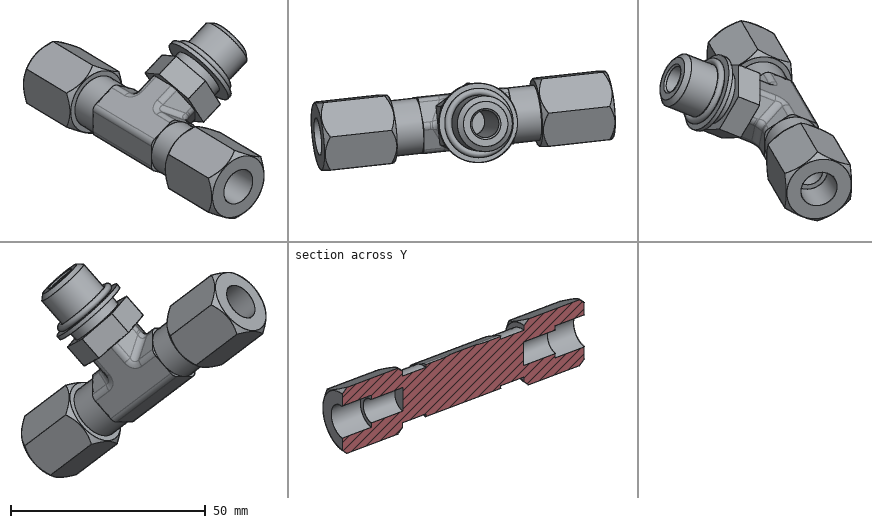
import cadquery as cq
import math

BRANCH_TILT = 30.0

RUN_LENGTH = 76.2
RUN_START = -RUN_LENGTH / 2
BODY_LENGTH = 23.6
BODY_FLATS = 14.3
BODY_ROUND = 2.0
CROTCH_ROUND = BODY_ROUND
NECK_DIAMETER = BODY_FLATS
NUT_FLATS = 17.45
NUT_LENGTH = 19.05
NUT_FACE_DIAMETER = 17.15

TUBE_BORE_DIAMETER = 9.6
TUBE_BORE_DEPTH = 9.15
PASSAGE_DIAMETER = 7.0
RUN_BORE_DEPTH = NUT_LENGTH
BRANCH_BORE_CHAMFER = 0.45

LOCKNUT_START = 11.7
LOCKNUT_END = 18.3
LOCKNUT_FLATS = NUT_FLATS
WASHER_START = 21.1
WASHER_END = 22.25
WASHER_DIAMETER = 20.4
O_RING_THICKNESS = 1.8
O_RING_CENTRE_RADIUS = 8.0
BRANCH_END = 32.9
STUD_DIAMETER = 14.3
STUD_CHAMFER_LENGTH = 1.2
STUD_CHAMFER_DEPTH = 1.4


def corner_diameter(flats):
    """Diameter across the corners of a hexagon, from its width across flats."""
    return flats / math.cos(math.pi / 6)


def across_run(start):
    """Sketch plane across the run, extruding toward +X, with sketch axes along Y and Z."""
    return cq.Workplane("YZ").workplane(offset=start)


def across_branch(start):
    """Sketch plane across the branch, extruding toward +Y, with sketch axes along Z and X."""
    return cq.Workplane(cq.Plane(origin=(0, start, 0), xDir=(0, 0, 1), normal=(0, 1, 0)))


def forged_body():
    """Two crossing hexagonal bars with filleted crotches and rounded long edges."""
    corners = corner_diameter(BODY_FLATS)
    run_bar = across_run(-BODY_LENGTH / 2).polygon(6, corners).extrude(BODY_LENGTH)
    branch_bar = (
        across_branch(0)
        .transformed(rotate=(0, 0, 90))
        .polygon(6, corners)
        .extrude(LOCKNUT_START)
    )
    body = run_bar.union(branch_bar)

    crotch_zone = cq.selectors.BoxSelector(
        (-corners / 2, 0, -corners / 2), (corners / 2, corners / 2, corners / 2)
    )
    oblique = cq.selectors.StringSyntaxSelector("not(|X or |Y)")
    body = body.edges(crotch_zone & oblique).fillet(CROTCH_ROUND)

    return body.edges("|X or |Y").edges("not(<X or >X or >Y)").fillet(BODY_ROUND)


def run_end():
    """Union nut at the -X end, its corners turned to a cone at both ends, and its neck."""
    corners = corner_diameter(NUT_FLATS)
    blank = across_run(RUN_START).polygon(6, corners).extrude(NUT_LENGTH)
    turned = (
        across_run(RUN_START)
        .circle(corners / 2)
        .extrude(NUT_LENGTH)
        .faces("|X")
        .chamfer((corners - NUT_FACE_DIAMETER) / 2)
    )
    neck_length = (RUN_LENGTH - BODY_LENGTH) / 2 - NUT_LENGTH
    neck = across_run(RUN_START + NUT_LENGTH).circle(NECK_DIAMETER / 2).extrude(neck_length)
    return blank.intersect(turned).union(neck)


def run_bore():
    """Stepped blind bore entering from the -X end."""
    tube_bore = across_run(RUN_START).circle(TUBE_BORE_DIAMETER / 2).extrude(TUBE_BORE_DEPTH)
    passage = across_run(RUN_START).circle(PASSAGE_DIAMETER / 2).extrude(RUN_BORE_DEPTH)
    return tube_bore.union(passage)


def locknut():
    """Plain hexagonal nut on the branch."""
    length = LOCKNUT_END - LOCKNUT_START
    return across_branch(LOCKNUT_START).polygon(6, corner_diameter(LOCKNUT_FLATS)).extrude(length)


def stud():
    """Turned stud with a chamfered end."""
    radius = STUD_DIAMETER / 2
    return (
        cq.Workplane("XY")
        .moveTo(0, LOCKNUT_START)
        .lineTo(radius, LOCKNUT_START)
        .lineTo(radius, BRANCH_END - STUD_CHAMFER_LENGTH)
        .lineTo(radius - STUD_CHAMFER_DEPTH, BRANCH_END)
        .lineTo(0, BRANCH_END)
        .close()
        .revolve(360, (0, 0, 0), (0, 1, 0))
    )


def washer():
    """Flat washer around the stud."""
    thickness = WASHER_END - WASHER_START
    return across_branch(WASHER_START).circle(WASHER_DIAMETER / 2).extrude(thickness)


def o_ring():
    """O-ring seated on the washer and slightly squeezed onto the stud."""
    return (
        cq.Workplane("XY")
        .center(-O_RING_CENTRE_RADIUS, WASHER_END + O_RING_THICKNESS / 2)
        .circle(O_RING_THICKNESS / 2)
        .revolve(360, (O_RING_CENTRE_RADIUS, 0, 0), (O_RING_CENTRE_RADIUS, 1, 0))
    )


def branch_bore():
    """Blind bore with a chamfered mouth, from the stud end down to the locknut's inner face."""
    radius = PASSAGE_DIAMETER / 2
    return (
        cq.Workplane("XY")
        .moveTo(0, LOCKNUT_START)
        .lineTo(radius, LOCKNUT_START)
        .lineTo(radius, BRANCH_END - BRANCH_BORE_CHAMFER)
        .lineTo(radius + BRANCH_BORE_CHAMFER, BRANCH_END)
        .lineTo(0, BRANCH_END)
        .close()
        .revolve(360, (0, 0, 0), (0, 1, 0))
    )


tee = forged_body()
for branch_piece in (locknut(), stud(), washer(), o_ring()):
    tee = tee.union(branch_piece)

left_end = run_end()
tee = tee.union(left_end).union(left_end.mirror("YZ"))

left_bore = run_bore()
tee = tee.cut(left_bore).cut(left_bore.mirror("YZ")).cut(branch_bore())

result = tee.rotate((0, 0, 0), (1, 0, 0), BRANCH_TILT)